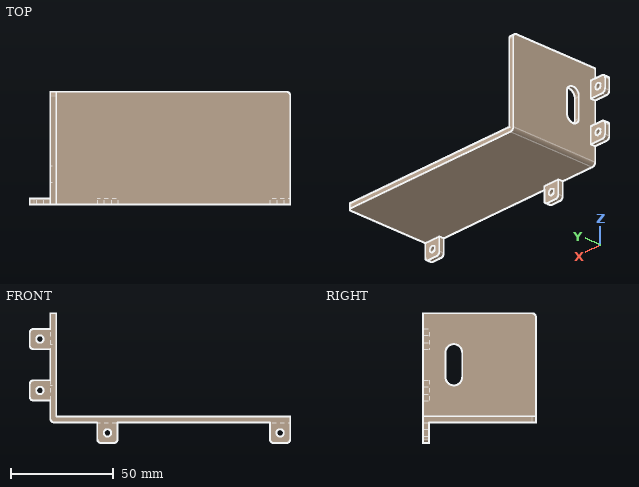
import cadquery as cq

PLATE_THICKNESS = 3.0
BRACKET_DEPTH = 55.0
BASE_LENGTH = 116.88
WALL_INNER_HEIGHT = 50.3
WALL_HEIGHT = WALL_INNER_HEIGHT + PLATE_THICKNESS
CORNER_RADIUS = 2.0

TAB_SIZE = 10.0
TAB_THICKNESS = PLATE_THICKNESS
TAB_HOLE_DIAMETER = 3.5
WALL_TAB_PITCH = 25.0
BASE_TAB_PITCH = 84.0
WALL_CENTER_Z = PLATE_THICKNESS + WALL_INNER_HEIGHT / 2
WALL_TAB_CENTERS_Z = (WALL_CENTER_Z - WALL_TAB_PITCH / 2, WALL_CENTER_Z + WALL_TAB_PITCH / 2)
LAST_BASE_TAB_X = BASE_LENGTH - TAB_SIZE / 2
BASE_TAB_CENTERS_X = (LAST_BASE_TAB_X - BASE_TAB_PITCH, LAST_BASE_TAB_X)

SLOT_WIDTH = 8.0
SLOT_LENGTH = 20.0
SLOT_CENTER_Y = 15.0


def make_angle():
    """L-shaped body with its outer bend and far corners rounded."""
    base = (
        cq.Workplane("XY")
        .box(BASE_LENGTH, BRACKET_DEPTH, PLATE_THICKNESS, centered=False)
        .edges("|Z and >X and >Y")
        .fillet(CORNER_RADIUS)
    )
    wall = (
        cq.Workplane("XY")
        .box(PLATE_THICKNESS, BRACKET_DEPTH, WALL_HEIGHT, centered=False)
        .edges("|X and >Y and >Z")
        .fillet(CORNER_RADIUS)
    )
    return base.union(wall).edges("|Y and <X and <Z").fillet(CORNER_RADIUS)


def make_tab(center_x, center_z, outer_side):
    """Drilled square tab whose two corners on outer_side are rounded."""
    return (
        cq.Workplane("XY")
        .box(TAB_SIZE, TAB_THICKNESS, TAB_SIZE, centered=(True, False, True))
        .faces(outer_side)
        .edges("|Y")
        .fillet(CORNER_RADIUS)
        .faces("<Y")
        .workplane(centerOption="CenterOfBoundBox")
        .hole(TAB_HOLE_DIAMETER)
        .translate((center_x, 0, center_z))
    )


def make_slot_cutter():
    """Rounded slot, long along Z, passing through the wall."""
    return (
        cq.Workplane("YZ")
        .center(SLOT_CENTER_Y, WALL_CENTER_Z)
        .slot2D(SLOT_LENGTH, SLOT_WIDTH, angle=90)
        .extrude(PLATE_THICKNESS)
    )


result = make_angle().cut(make_slot_cutter())
for tab_z in WALL_TAB_CENTERS_Z:
    result = result.union(make_tab(-TAB_SIZE / 2, tab_z, "<X"))
for tab_x in BASE_TAB_CENTERS_X:
    result = result.union(make_tab(tab_x, -TAB_SIZE / 2, "<Z"))